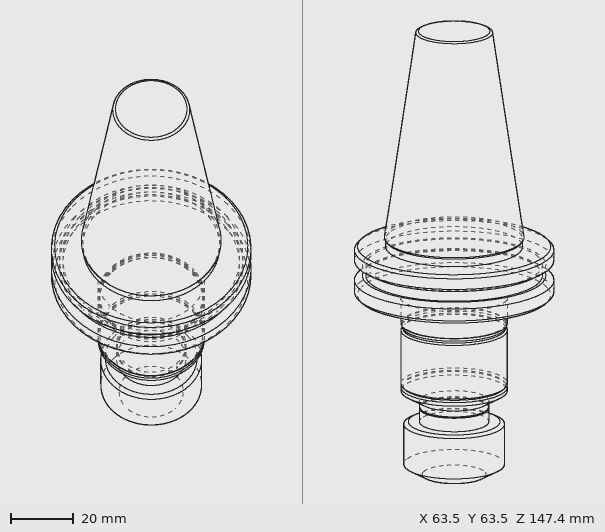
import cadquery as cq
import math


taper_length = 68.5
taper_radius = 22.3
taper_ratio = 7 / 24
taper_tip_radius = taper_radius - taper_length * taper_ratio / 2
tip_chamfer_height = 0.5
tip_chamfer_width = 0.9
collar_radius = 21.8
collar_step_height = 0.6

flange_top = -3.1
flange_bottom = -19.2
flange_radius = 63.5 / 2
flange_chamfer = 1.0
groove_top = -7.7
groove_bottom = -14.2
groove_wall_angle = 60
groove_wall_height = 1.5
groove_wall_depth = groove_wall_height * math.tan(math.radians(groove_wall_angle))
groove_wall_radius = flange_radius - groove_wall_depth
groove_floor_radius = 28.2

nose_radius = 17.0
root_fillet = 1.5
ring_groove_top = -28.6
ring_radius = 16.7
ring_top_radius = 16.5
ring_height = 0.9
relief_radius = 16.4
relief_height = 0.7
relief_chamfer = nose_radius - relief_radius
sleeve_bottom = -48.6
sleeve_notch = 0.6
sleeve_lip_height = 1.2
neck_radius = 11.0
nose_cone_angle = 60
nose_cone_height = (nose_radius - neck_radius) / math.tan(math.radians(nose_cone_angle))

joint_z = -56.6
joint_chamfer = 0.22
head_top = -61.3
head_radius = 16.0
head_chamfer_height = 0.7
head_chamfer_width = 1.5
head_cone_top = -75.5
head_bottom = taper_length - 147.4
head_cone_angle = 60
head_face_radius = head_radius - (head_cone_top - head_bottom) * math.tan(math.radians(head_cone_angle))


def revolve_outline(outline):
    """Close a (radius, z) outline and turn it about the Z axis."""
    return outline.close().revolve(360, (0, 0, 0), (0, 1, 0))


def make_holder():
    """Taper shank, grooved flange and cylindrical nose in one piece."""
    outline = cq.Workplane("XZ").moveTo(0, taper_length)

    outline = (
        outline.lineTo(taper_tip_radius - tip_chamfer_width, taper_length)
        .lineTo(taper_tip_radius, taper_length - tip_chamfer_height)
        .lineTo(taper_radius, 0)
        .lineTo(collar_radius, -collar_step_height)
        .lineTo(collar_radius, flange_top)
    )

    outline = (
        outline.lineTo(flange_radius - flange_chamfer, flange_top)
        .lineTo(flange_radius, flange_top - flange_chamfer)
        .lineTo(flange_radius, groove_top)
        .lineTo(groove_wall_radius, groove_top - groove_wall_height)
        .lineTo(groove_floor_radius, groove_top - groove_wall_height)
        .lineTo(groove_floor_radius, groove_bottom + groove_wall_height)
        .lineTo(groove_wall_radius, groove_bottom + groove_wall_height)
        .lineTo(flange_radius, groove_bottom)
        .lineTo(flange_radius, flange_bottom + flange_chamfer)
        .lineTo(flange_radius - flange_chamfer, flange_bottom)
    )

    ring_bottom = ring_groove_top - ring_height
    relief_bottom = ring_bottom - relief_height
    outline = (
        outline.lineTo(nose_radius + root_fillet, flange_bottom)
        .radiusArc((nose_radius, flange_bottom - root_fillet), -root_fillet)
        .lineTo(nose_radius, ring_groove_top)
        .lineTo(ring_top_radius, ring_groove_top)
        .lineTo(ring_radius, ring_bottom)
        .lineTo(relief_radius, relief_bottom)
        .lineTo(nose_radius, relief_bottom - relief_chamfer)
    )

    lip_top = sleeve_bottom - 2 * sleeve_notch
    cone_top = lip_top - sleeve_lip_height
    outline = (
        outline.lineTo(nose_radius, sleeve_bottom)
        .lineTo(nose_radius - sleeve_notch, sleeve_bottom - sleeve_notch)
        .lineTo(nose_radius, lip_top)
        .lineTo(nose_radius, cone_top)
        .lineTo(neck_radius, cone_top - nose_cone_height)
        .lineTo(neck_radius, joint_z + joint_chamfer)
        .lineTo(neck_radius - joint_chamfer, joint_z)
        .lineTo(0, joint_z)
    )
    return revolve_outline(outline)


def make_tool_head():
    """Stem and chamfered head that butt against the holder neck."""
    outline = (
        cq.Workplane("XZ")
        .moveTo(0, joint_z)
        .lineTo(neck_radius - joint_chamfer, joint_z)
        .lineTo(neck_radius, joint_z - joint_chamfer)
        .lineTo(neck_radius, head_top)
        .lineTo(head_radius - head_chamfer_width, head_top)
        .lineTo(head_radius, head_top - head_chamfer_height)
        .lineTo(head_radius, head_cone_top)
        .lineTo(head_face_radius, head_bottom)
        .lineTo(0, head_bottom)
    )
    return revolve_outline(outline)


holder = make_holder()
tool_head = make_tool_head()

result = cq.Compound.makeCompound([holder.val(), tool_head.val()])